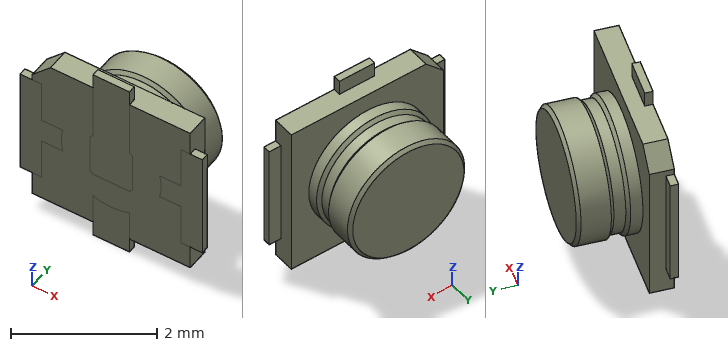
import cadquery as cq
import math

base_side = 2.6
base_thickness = 0.36
corner_cut = 0.3

barrel_radius = 1.0
groove_radius = 0.95
edge_step = barrel_radius - groove_radius
total_depth = 1.3
lower_ring_height = 0.23
groove_end = 0.76

contact_thickness = 0.12
overall_width = 3.0
overall_height = 3.1
side_pad_height = 1.8
side_pad_width = 0.35
side_tongue_height = 0.4
strip_width = 0.6
side_tip_radius = 0.82
bottom_tip_radius = 0.845

signal_head_width = 0.695
signal_head_top = 0.375
signal_head_bottom = -0.375
signal_head_chamfer = 0.05


def extrude_back(outline, depth):
    """Extrude a closed XZ outline from Y = 0 towards +Y."""
    return outline.close().extrude(-depth)


def make_base():
    half = base_side / 2
    outline = cq.Workplane("XZ").polyline([
        (-half, -half),
        (half, -half),
        (half, half),
        (-half + corner_cut, half),
        (-half, half - corner_cut),
    ])
    return extrude_back(outline, base_thickness)


def make_barrel():
    start = contact_thickness
    ring_end = base_thickness + lower_ring_height - edge_step
    profile = cq.Workplane("XY").polyline([
        (0, start),
        (barrel_radius, start),
        (barrel_radius, ring_end),
        (groove_radius, ring_end + edge_step),
        (groove_radius, groove_end),
        (barrel_radius, groove_end + edge_step),
        (barrel_radius, total_depth - edge_step),
        (groove_radius, total_depth),
        (0, total_depth),
    ])
    return profile.close().revolve(360, (0, 0, 0), (0, 1, 0))


def make_side_pad(side):
    """Side contact with a tongue ending in an arc centred on the barrel axis; side is -1 or 1."""
    outer = side * overall_width / 2
    shoulder = outer - side * side_pad_width
    half_pad = side_pad_height / 2
    half_tongue = side_tongue_height / 2
    tip = side * math.sqrt(side_tip_radius**2 - half_tongue**2)
    outline = (
        cq.Workplane("XZ")
        .moveTo(outer, -half_pad)
        .lineTo(shoulder, -half_pad)
        .lineTo(shoulder, -half_tongue)
        .lineTo(tip, -half_tongue)
        .threePointArc((side * side_tip_radius, 0), (tip, half_tongue))
        .lineTo(shoulder, half_tongue)
        .lineTo(shoulder, half_pad)
        .lineTo(outer, half_pad)
    )
    return extrude_back(outline, contact_thickness)


def make_bottom_tab():
    half = strip_width / 2
    bottom = -overall_height / 2
    tip = -math.sqrt(bottom_tip_radius**2 - half**2)
    outline = (
        cq.Workplane("XZ")
        .moveTo(-half, bottom)
        .lineTo(-half, tip)
        .threePointArc((0, -bottom_tip_radius), (half, tip))
        .lineTo(half, bottom)
    )
    return extrude_back(outline, contact_thickness)


def make_signal_contact():
    half = strip_width / 2
    head_half = signal_head_width / 2
    top = overall_height / 2
    right_side = [
        (half, top),
        (half, signal_head_top),
        (head_half, signal_head_top - signal_head_chamfer),
        (head_half, signal_head_bottom + signal_head_chamfer),
        (head_half - signal_head_chamfer, signal_head_bottom),
    ]
    left_side = [(-x, z) for x, z in reversed(right_side)]
    outline = cq.Workplane("XZ").polyline(right_side + left_side)
    return extrude_back(outline, contact_thickness)


result = make_base().union(make_barrel())
contacts = [make_side_pad(-1), make_side_pad(1), make_bottom_tab(), make_signal_contact()]
for contact in contacts:
    result = result.cut(contact, clean=False).union(contact, clean=False)